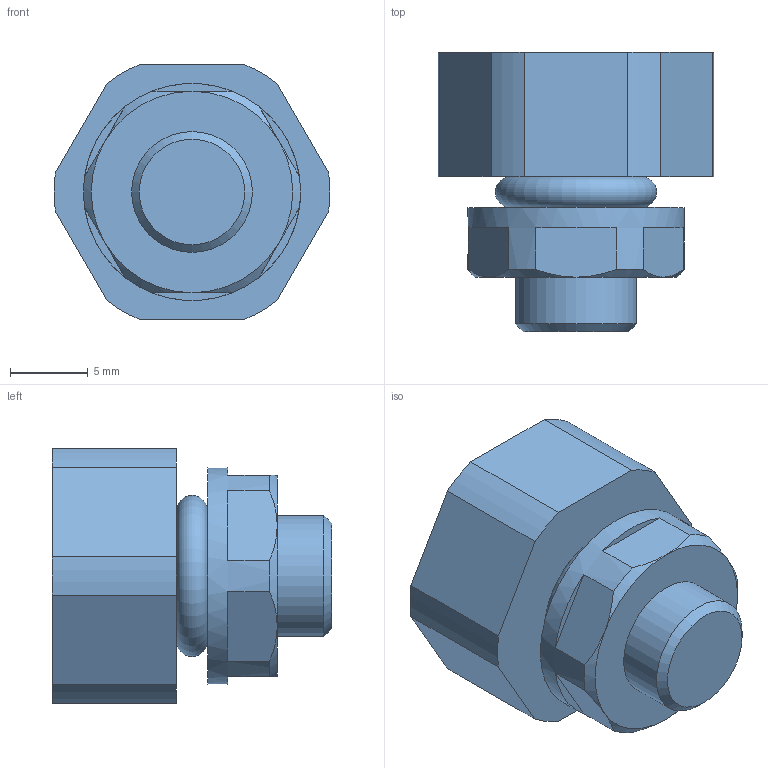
import cadquery as cq
import math

head_length = 8.0
head_across_flats = 16.5
head_corner_diameter = 17.8

neck_length = 2.0
ring_outer_diameter = 10.4
ring_section_radius = neck_length / 2
ring_centre_radius = ring_outer_diameter / 2 - ring_section_radius

collar_diameter = 14.0
flange_length = 1.3
hex_length = 3.2
hex_across_flats = 13.0
hex_chamfer = (collar_diameter - hex_across_flats) / 2

pin_diameter = 7.8
pin_length = 3.5
pin_chamfer = 0.5

pin_tip_y = 0.0
hex_start_y = pin_tip_y + pin_length
flange_start_y = hex_start_y + hex_length
neck_start_y = flange_start_y + flange_length
head_start_y = neck_start_y + neck_length


def section_plane(y):
    """Plane across the axis at station y, with its normal along +Y."""
    return cq.Workplane(cq.Plane(origin=(0, y, 0), xDir=(1, 0, 0), normal=(0, 1, 0)))


def cylinder(y, diameter, length):
    return section_plane(y).circle(diameter / 2).extrude(length)


def hexagon(y, across_flats, length):
    """Hexagonal prism with one pair of flats facing +Z and -Z."""
    across_corners = across_flats / math.cos(math.pi / 6)
    return section_plane(y).polygon(6, across_corners).extrude(length)


def make_head():
    rounding = cylinder(head_start_y, head_corner_diameter, head_length)
    return hexagon(head_start_y, head_across_flats, head_length).intersect(rounding)


def make_sealing_ring():
    """Disc with a fully rounded rim: the ring together with the neck inside it."""
    middle_y = neck_start_y + neck_length / 2
    return (
        cq.Workplane("XY")
        .moveTo(0, neck_start_y)
        .lineTo(ring_centre_radius, neck_start_y)
        .threePointArc((ring_outer_diameter / 2, middle_y), (ring_centre_radius, head_start_y))
        .lineTo(0, head_start_y)
        .close()
        .revolve(360, (0, 0), (0, 1))
    )


def make_collar():
    flange = cylinder(flange_start_y, collar_diameter, flange_length)
    rounding = cylinder(hex_start_y, collar_diameter, hex_length)
    rounding = rounding.faces("<Y").chamfer(hex_chamfer)
    hex_part = hexagon(hex_start_y, hex_across_flats, hex_length).intersect(rounding)
    return flange.union(hex_part)


def make_pin():
    pin = cylinder(pin_tip_y, pin_diameter, pin_length)
    return pin.faces("<Y").chamfer(pin_chamfer)


result = (
    make_head()
    .union(make_sealing_ring())
    .union(make_collar())
    .union(make_pin())
)